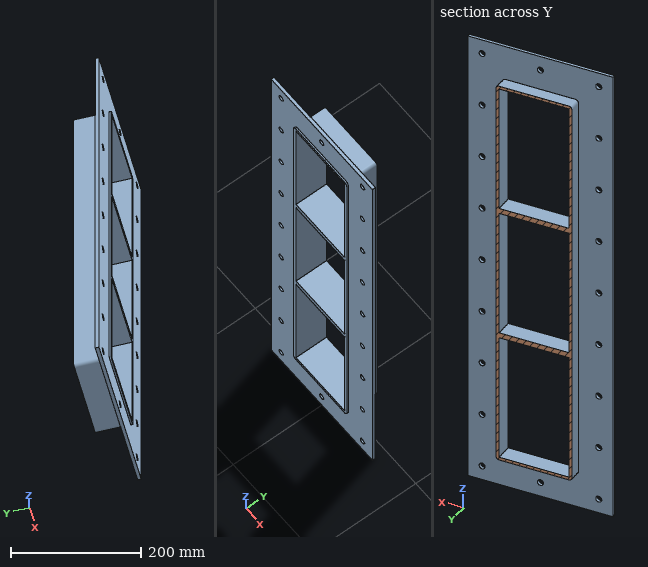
import cadquery as cq

plate_width = 252.5
plate_height = 806.0
plate_thickness = 6.0

flange_margin = 60.0
duct_width = plate_width - 2 * flange_margin
duct_height = plate_height - 2 * flange_margin
duct_depth = 60.0
duct_wall = 6.0
duct_corner_radius = duct_wall
duct_protrusion = 3.0

opening_count = 3
bar_thickness = 10.0
opening_width = duct_width - 2 * duct_wall
clear_height = duct_height - 2 * duct_wall
opening_height = (clear_height - (opening_count - 1) * bar_thickness) / opening_count
opening_pitch = opening_height + bar_thickness

hole_diameter = 10.0
hole_edge_distance = 25.0
holes_per_side = 9
hole_span_x = plate_width - 2 * hole_edge_distance
hole_span_z = plate_height - 2 * hole_edge_distance
hole_pitch_z = hole_span_z / (holes_per_side - 1)


def block(width, height, front_y, depth):
    """Box centred in X and Z that extends in +Y from front_y."""
    body = cq.Workplane("XY").box(width, depth, height, centered=(True, False, True))
    return body.translate((0, front_y, 0))


def make_plate():
    """Flange plate with two side columns of holes and one hole mid-way along each end."""
    side_holes = [
        (side * hole_span_x / 2, index * hole_pitch_z - hole_span_z / 2)
        for side in (-1, 1)
        for index in range(holes_per_side)
    ]
    end_holes = [(0, -hole_span_z / 2), (0, hole_span_z / 2)]
    plate = block(plate_width, plate_height, duct_protrusion, plate_thickness)
    front = plate.faces("<Y").workplane(origin=(0, 0, 0))
    return front.pushPoints(side_holes + end_holes).hole(hole_diameter)


def make_duct():
    """Solid duct body with rounded outer corners."""
    return block(duct_width, duct_height, 0, duct_depth).edges("|Y").fillet(duct_corner_radius)


def make_openings():
    """Sharp-cornered through openings, evenly stacked about the centre."""
    opening = block(opening_width, opening_height, 0, duct_depth)
    openings = cq.Workplane("XY")
    for index in range(opening_count):
        offset_z = (index - (opening_count - 1) / 2) * opening_pitch
        openings = openings.add(opening.translate((0, 0, offset_z)))
    return openings.combine()


result = make_plate().union(make_duct()).cut(make_openings())